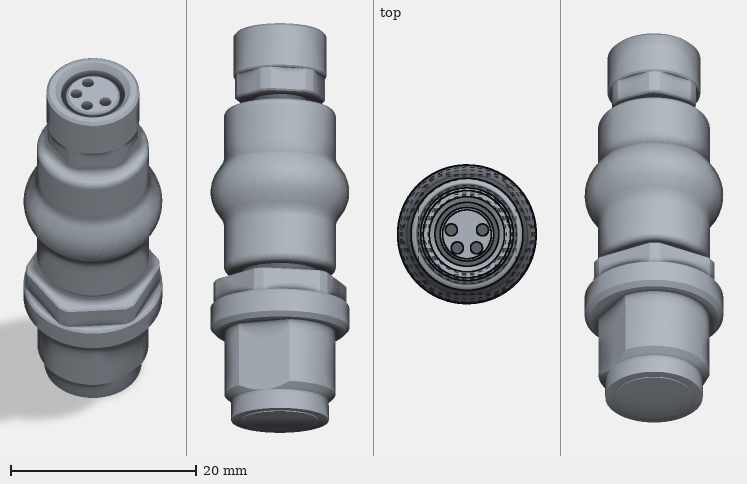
import cadquery as cq
import math

total_height = 43.2
nut_ring_height = 4.9
nut_hex_height = 2.55
neck_gap = 1.15
sleeve_length = 18.05
housing_hex_height = 2.5
flange_height = 3.02
core_protrusion = 0.1

nut_hex_top = total_height - nut_ring_height
nut_bottom = nut_hex_top - nut_hex_height
sleeve_top = nut_bottom - neck_gap
sleeve_bottom = sleeve_top - sleeve_length
sleeve_middle = (sleeve_top + sleeve_bottom) / 2
housing_top = sleeve_bottom - neck_gap
flange_top = housing_top - housing_hex_height
flange_bottom = flange_top - flange_height
housing_bottom = core_protrusion

outer_diameter = 15.0

nut_radius = 5.0
nut_rim_chamfer = 0.3
nut_lower_chamfer = 0.17
nut_mouth_radius = 4.05
nut_bore_radius = 3.45
nut_hex_across_flats = 9.0
nut_hex_corner_radius = 4.9
hex_chamfer = 0.17

carrier_radius = 2.9
carrier_recess = 0.65
carrier_chamfer = 0.25
contact_hole_radius = 0.65
contact_hole_depth = 4.3
outer_contact_x, outer_contact_y = 1.7, 0.48
inner_contact_x, inner_contact_y = 1.05, -1.45

sleeve_radius = 6.05
sleeve_end_fillet = 0.7
bulge_max_radius = outer_diameter / 2
bulge_arc_radius = 3.95
bulge_root_radius = 1.9

housing_hex_across_flats = 13.0
housing_hex_corner_radius = 7.2
flange_radius = outer_diameter / 2
flange_top_chamfer = 0.2
flange_bottom_chamfer = 0.5
barrel_radius = 6.0
tip_radius = 5.25
tip_top = 2.2
shoulder_height = barrel_radius - tip_radius

core_radius = 4.25


def cylinder(radius, bottom, top):
    return cq.Workplane("XY").workplane(offset=bottom).circle(radius).extrude(top - bottom)


def rounded_hexagon(across_flats, corner_radius, bottom, top):
    """Hexagonal prism with flats facing +Y and -Y, its corners turned down to a cylinder."""
    corner_distance = across_flats / math.cos(math.radians(30))
    prism = cq.Workplane("XY").workplane(offset=bottom).polygon(6, corner_distance).extrude(top - bottom)
    return prism.intersect(cylinder(corner_radius, bottom, top))


def make_coupling_nut():
    ring = cylinder(nut_radius, nut_hex_top, total_height)
    ring = ring.faces(">Z").chamfer(nut_rim_chamfer).faces("<Z").chamfer(nut_lower_chamfer)
    hexagon = rounded_hexagon(nut_hex_across_flats, nut_hex_corner_radius, nut_bottom, nut_hex_top)
    hexagon = hexagon.faces("<Z").chamfer(hex_chamfer)
    bore = cylinder(nut_bore_radius, nut_hex_top, total_height)
    bore_rim = ring.cut(bore).faces(">Z").edges(cq.selectors.RadiusNthSelector(0))
    ring = bore_rim.chamfer(nut_mouth_radius - nut_bore_radius)
    carrier_hole = cylinder(carrier_radius, nut_bottom, nut_hex_top)
    return ring.union(hexagon.cut(carrier_hole))


def make_contact_carrier():
    carrier_top = total_height - carrier_recess
    carrier = cylinder(carrier_radius, sleeve_top, carrier_top).faces(">Z").chamfer(carrier_chamfer)
    contacts = [
        (side * x, y)
        for side in (-1, 1)
        for x, y in ((outer_contact_x, outer_contact_y), (inner_contact_x, inner_contact_y))
    ]
    holes = (
        cq.Workplane("XY")
        .workplane(offset=carrier_top)
        .pushPoints(contacts)
        .circle(contact_hole_radius)
        .extrude(-contact_hole_depth)
    )
    return carrier.cut(holes)


def make_sleeve():
    """Turned sleeve whose central bulge runs into the cylinder through concave root arcs."""
    rise = bulge_max_radius - sleeve_radius
    arc_angle = math.acos(1 - rise / (bulge_arc_radius + bulge_root_radius))
    joint_radius = sleeve_radius + bulge_root_radius * (1 - math.cos(arc_angle))
    joint_offset = bulge_arc_radius * math.sin(arc_angle)
    root_offset = (bulge_arc_radius + bulge_root_radius) * math.sin(arc_angle)
    root_mid_radius = sleeve_radius + bulge_root_radius * (1 - math.cos(arc_angle / 2))
    root_mid_offset = root_offset - bulge_root_radius * math.sin(arc_angle / 2)
    profile = (
        cq.Workplane("XZ")
        .moveTo(0, sleeve_bottom)
        .lineTo(sleeve_radius, sleeve_bottom)
        .lineTo(sleeve_radius, sleeve_middle - root_offset)
        .threePointArc(
            (root_mid_radius, sleeve_middle - root_mid_offset), (joint_radius, sleeve_middle - joint_offset)
        )
        .threePointArc((bulge_max_radius, sleeve_middle), (joint_radius, sleeve_middle + joint_offset))
        .threePointArc(
            (root_mid_radius, sleeve_middle + root_mid_offset), (sleeve_radius, sleeve_middle + root_offset)
        )
        .lineTo(sleeve_radius, sleeve_top)
        .lineTo(0, sleeve_top)
        .close()
    )
    sleeve = profile.revolve(360, (0, 0, 0), (0, 1, 0))
    return sleeve.faces("<Z or >Z").edges().fillet(sleeve_end_fillet)


def make_barrel():
    """Barrel with a conical shoulder and two flats level with the tip below it."""
    barrel = cylinder(barrel_radius, tip_top, flange_bottom).faces("<Z").chamfer(shoulder_height)
    flat_stock = cq.Workplane("XY").box(2 * tip_radius, 2 * barrel_radius, 2 * flange_bottom)
    tip = cylinder(tip_radius, housing_bottom, tip_top)
    return barrel.intersect(flat_stock).union(tip)


def make_housing():
    hexagon = rounded_hexagon(housing_hex_across_flats, housing_hex_corner_radius, flange_top, housing_top)
    hexagon = hexagon.faces(">Z").chamfer(hex_chamfer)
    flange = cylinder(flange_radius, flange_bottom, flange_top)
    flange = flange.faces(">Z").chamfer(flange_top_chamfer).faces("<Z").chamfer(flange_bottom_chamfer)
    core_hole = cylinder(core_radius, housing_bottom, housing_top)
    return hexagon.union(flange).union(make_barrel()).cut(core_hole)


def make_lower_core():
    return cylinder(core_radius, 0, sleeve_bottom)


coupling_nut = make_coupling_nut()
contact_carrier = make_contact_carrier()
sleeve = make_sleeve()
housing = make_housing()
lower_core = make_lower_core()

result = cq.Compound.makeCompound(
    [coupling_nut.val(), contact_carrier.val(), sleeve.val(), housing.val(), lower_core.val()]
)